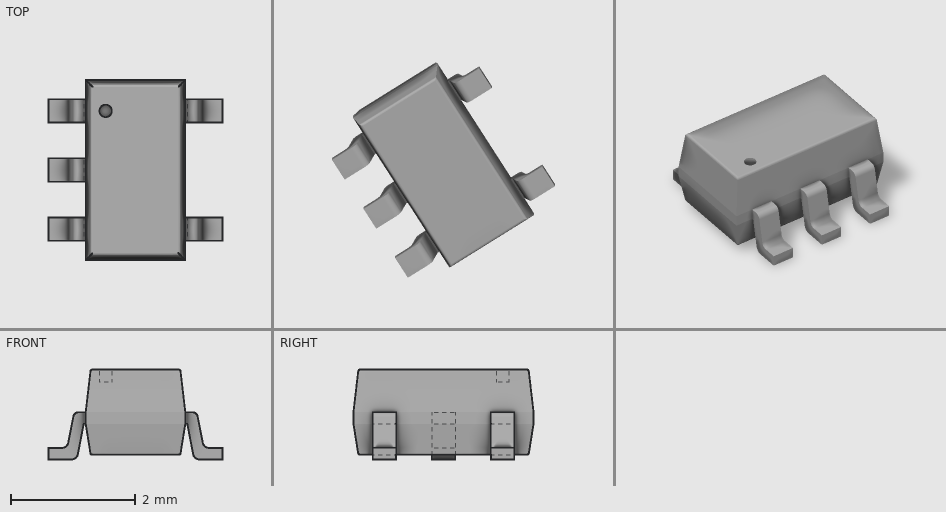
import cadquery as cq
import math

BODY_LENGTH_X = 1.605
BODY_LENGTH_Y = 2.9
BODY_BOTTOM_Z = 0.075
BODY_TOP_Z = 1.45
DRAFT_INSET = 0.08
EDGE_FILLET = 0.04

MARK_DIAMETER = 0.2
MARK_DEPTH = 0.2
MARK_OFFSET_X = 0.48

LEAD_THICKNESS = 0.19
LEAD_WIDTH = 0.38
LEAD_PITCH = 0.95
LEAD_TOP_Z = 0.765
LEAD_SPAN = 2.8
SHOULDER_LENGTH = 0.028
SHANK_TILT = math.radians(11)
BEND_RADIUS = 0.095
HEEL_RADIUS = 0.11

BAND_TOP_Z = LEAD_TOP_Z
BAND_BOTTOM_Z = LEAD_TOP_Z - LEAD_THICKNESS

LEAD_PLACES = [(-1, -1), (-1, 0), (-1, 1), (1, -1), (1, 1)]


def drafted_block(band_z, end_z):
    """Block that narrows from the band outline to a smaller end face."""
    return (
        cq.Workplane("XY", origin=(0, 0, band_z))
        .rect(BODY_LENGTH_X, BODY_LENGTH_Y)
        .workplane(offset=end_z - band_z)
        .rect(BODY_LENGTH_X - 2 * DRAFT_INSET, BODY_LENGTH_Y - 2 * DRAFT_INSET)
        .loft(ruled=True)
    )


def make_body():
    """Package body: straight band, drafted top and bottom, round pin 1 recess."""
    band = (
        cq.Workplane("XY", origin=(0, 0, BAND_BOTTOM_Z))
        .rect(BODY_LENGTH_X, BODY_LENGTH_Y)
        .extrude(LEAD_THICKNESS)
    )
    upper = drafted_block(BAND_TOP_Z, BODY_TOP_Z).faces(">Z").edges().fillet(EDGE_FILLET)
    lower = drafted_block(BAND_BOTTOM_Z, BODY_BOTTOM_Z).faces("<Z").edges().fillet(EDGE_FILLET)
    mark = (
        cq.Workplane("XY", origin=(-MARK_OFFSET_X, LEAD_PITCH, BODY_TOP_Z))
        .circle(MARK_DIAMETER / 2)
        .extrude(-MARK_DEPTH)
    )
    return band.union(upper).union(lower).cut(mark)


def make_lead():
    """Lead on the +X side, centred on Y = 0, butting against the body band."""
    body_x = BODY_LENGTH_X / 2
    tip_x = LEAD_SPAN / 2
    slope = math.tan(SHANK_TILT)

    inner_top_x = body_x + SHOULDER_LENGTH
    inner_bottom_x = inner_top_x + BAND_BOTTOM_Z * slope
    shank_width_x = LEAD_THICKNESS / math.cos(SHANK_TILT)
    outer_top_x = inner_top_x + shank_width_x - LEAD_THICKNESS * slope
    outer_bottom_x = inner_bottom_x + shank_width_x - LEAD_THICKNESS * slope

    profile = (
        cq.Workplane("XZ", origin=(0, LEAD_WIDTH / 2, 0))
        .moveTo(body_x, LEAD_TOP_Z)
        .lineTo(outer_top_x, LEAD_TOP_Z)
        .lineTo(outer_bottom_x, LEAD_THICKNESS)
        .lineTo(tip_x, LEAD_THICKNESS)
        .lineTo(tip_x, 0)
        .lineTo(inner_bottom_x, 0)
        .lineTo(inner_top_x, BAND_BOTTOM_Z)
        .lineTo(body_x, BAND_BOTTOM_Z)
        .close()
    )
    lead = profile.extrude(LEAD_WIDTH)

    for bend_x, bend_z, radius in [
        (outer_top_x, LEAD_TOP_Z, BEND_RADIUS),
        (outer_bottom_x, LEAD_THICKNESS, BEND_RADIUS),
        (inner_bottom_x, 0, HEEL_RADIUS),
    ]:
        bend = cq.selectors.NearestToPointSelector((bend_x, 0, bend_z))
        lead = lead.edges("|Y").edges(bend).fillet(radius)
    return lead


def place_lead(side, step):
    """Copy of the lead on the given X side, moved along Y by whole pitches."""
    lead = make_lead()
    if side < 0:
        lead = lead.mirror("YZ")
    return lead.translate((0, step * LEAD_PITCH, 0))


body = make_body()
leads = [place_lead(side, step) for side, step in LEAD_PLACES]

result = cq.Compound.makeCompound([body.val(), *[lead.val() for lead in leads]])